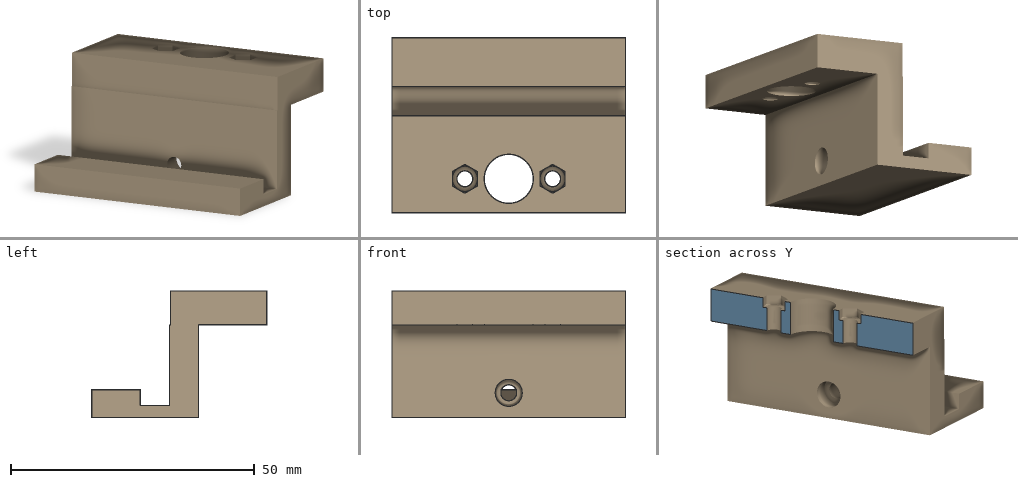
import cadquery as cq
import math

length = 47.9
height = 26.0
depth = 35.95

web_front = 14.0
web_thickness = 6.05
web_back = web_front + web_thickness
flange_depth = 19.8
flange_thickness = 7.0
flange_bottom = height - flange_thickness
ledge_depth = 10.0
ledge_height = 5.75
channel_floor = 2.5

main_bore_diameter = 10.0
flange_hole_y = 7.0
nut_offset = 9.0
nut_hole_diameter = 3.2
nut_across_flats = 5.1
nut_across_corners = nut_across_flats / math.cos(math.radians(30))
nut_pocket_depth = 2.0
nut_floor_diameter = 5.15
nut_chamfer_height = 0.25
nut_chamfer_width = 0.5

screw_z = 5.08
screw_hole_diameter = 3.25
screw_head_diameter = 5.55
screw_head_depth = 3.0


def make_body():
    outline = [
        (0, flange_bottom),
        (web_front, flange_bottom),
        (web_front, 0),
        (depth, 0),
        (depth, ledge_height),
        (depth - ledge_depth, ledge_height),
        (depth - ledge_depth, channel_floor),
        (web_back, channel_floor),
        (web_back, flange_bottom),
        (flange_depth, flange_bottom),
        (flange_depth, height),
        (0, height),
    ]
    profile = cq.Workplane("YZ").polyline(outline).close()
    return profile.extrude(length / 2, both=True)


def vertical_cylinder(x, diameter, top, bottom):
    plane = cq.Workplane("XY", origin=(x, flange_hole_y, bottom))
    return plane.circle(diameter / 2).extrude(top - bottom)


def nut_cutter(x):
    """Hexagonal pocket with nut-style chamfered corners at its floor, and a clearance hole."""
    pocket_floor = height - nut_pocket_depth
    hexagon = (
        cq.Workplane("XY", origin=(x, flange_hole_y, pocket_floor))
        .transformed(rotate=(0, 0, 90))
        .polygon(6, nut_across_corners)
        .extrude(nut_pocket_depth)
    )
    envelope_diameter = nut_floor_diameter + 2 * nut_chamfer_width
    envelope = vertical_cylinder(x, envelope_diameter, height, pocket_floor)
    envelope = envelope.faces("<Z").chamfer(nut_chamfer_height, nut_chamfer_width)
    hole = vertical_cylinder(x, nut_hole_diameter, height, flange_bottom)
    return hexagon.intersect(envelope).union(hole)


def screw_cutter():
    """Clearance hole along Y, counterbored from the front of the web."""
    front_face = cq.Workplane("XZ", origin=(0, web_front, screw_z))
    hole = front_face.circle(screw_hole_diameter / 2).extrude(-web_thickness)
    head = front_face.circle(screw_head_diameter / 2).extrude(-screw_head_depth)
    return hole.union(head)


result = make_body()
result = result.cut(vertical_cylinder(0, main_bore_diameter, height, flange_bottom))
for side in (-1, 1):
    result = result.cut(nut_cutter(side * nut_offset))
result = result.cut(screw_cutter())